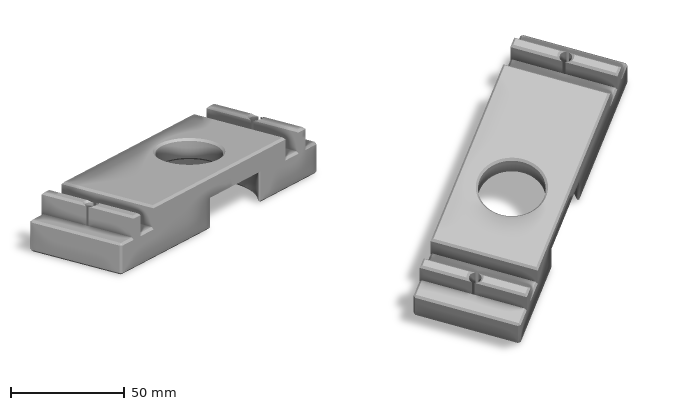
import cadquery as cq
length = 150.0
width = 50.0
height = 25.0
base_height = 15.0
edge_chamfer = 0.99

plate_length = 101.0
rib_thickness = 5.4
rib_offset = 63.0
rib_positions = (-rib_offset, rib_offset)

bore_diameter = 30.0
bore_y = 12.0
pin_hole_diameter = 5.5

recess_diameter = 61.2
upright_chamfer = 1.6


def raised_block(size_y, centre_y):
    """Full-width block with a chamfered top, rooted below the top chamfer of the base."""
    root = base_height - edge_chamfer
    block = (
        cq.Workplane("XY", origin=(0, centre_y, root))
        .box(width, size_y, height - root, centered=(True, True, False))
    )
    return block.faces(">Z").edges().chamfer(edge_chamfer)


def flare(diameter, wide_z, inward):
    """Cone that chamfers a hole at height wide_z; inward is +1 or -1 along Z, into the hole."""
    radius = diameter / 2
    return (
        cq.Workplane("XY", origin=(0, 0, wide_z))
        .circle(radius + edge_chamfer)
        .workplane(offset=inward * edge_chamfer)
        .circle(radius)
        .loft(ruled=True)
    )


def hole_cutter(diameter):
    """Through hole on the Z axis, chamfered at the top face."""
    hole = cq.Workplane("XY").circle(diameter / 2).extrude(height)
    return hole.union(flare(diameter, height, -1))


body = (
    cq.Workplane("XY")
    .box(width, length, base_height, centered=(True, True, False))
    .edges("|Z or >Z")
    .chamfer(edge_chamfer)
    .union(raised_block(plate_length, 0))
)
for rib_y in rib_positions:
    body = body.union(raised_block(rib_thickness, rib_y))

recess = cq.Workplane("XY", origin=(0, bore_y, 0)).circle(recess_diameter / 2).extrude(base_height)
body = body.cut(recess)

recess_zone = cq.selectors.BoxSelector(
    (-width, bore_y - recess_diameter / 2, 0),
    (width, bore_y + recess_diameter / 2, base_height),
)
body = body.edges("<Z").chamfer(edge_chamfer)
body = body.edges(recess_zone).edges("|Z").chamfer(upright_chamfer)

bore = hole_cutter(bore_diameter).union(flare(bore_diameter, base_height, 1))
body = body.cut(bore.translate((0, bore_y, 0)))

for rib_y in rib_positions:
    body = body.cut(hole_cutter(pin_hole_diameter).translate((0, rib_y, 0)))

result = body